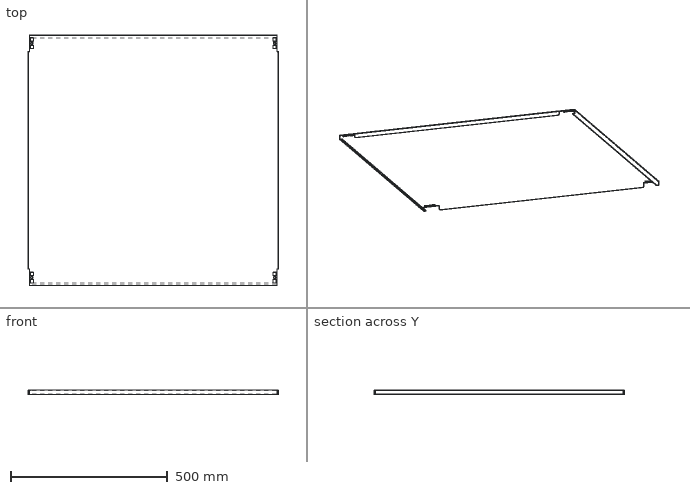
import cadquery as cq
import math

length_x = 799.0
length_y = 800.0
height = 15.0

sheet = 2.0
bend_inside = 1.8
bend_outside = bend_inside + sheet

lip_depth = 9.0

flange_length = 694.0
flange_corner_radius = 5.0

panel_x = length_x - 2 * bend_outside
panel_y = length_y - 2 * bend_outside

square_hole = 10.0
round_hole = 6.5
hole_pitch = 23.5
hole_edge_x = 12.0
hole_edge_y = 26.0


def quarter_bend(line, centre, end, radius, vertical):
    """Quarter arc on the outward side of `centre`, above it (vertical = 1) or below it (-1)."""
    diagonal = radius * math.sqrt(0.5)
    middle = (centre[0] + diagonal, centre[1] + vertical * diagonal)
    return line.threePointArc(middle, end)


def make_panel():
    """Flat sheet whose top face lies at z = 0."""
    return cq.Workplane("XY").rect(panel_x, panel_y).extrude(-sheet)


def make_hook():
    """Back edge: upright wall below the panel, ending in a lip turned inwards."""
    outer = length_y / 2
    inner = outer - sheet
    bend_line = outer - bend_outside
    lip_end = outer - lip_depth
    upper = (bend_line, -bend_outside)
    lower = (bend_line, bend_outside - height)

    line = cq.Workplane("YZ").moveTo(bend_line, 0)
    line = quarter_bend(line, upper, (outer, upper[1]), bend_outside, 1)
    line = line.lineTo(outer, lower[1])
    line = quarter_bend(line, lower, (bend_line, -height), bend_outside, -1)
    line = line.lineTo(lip_end, -height)
    line = line.lineTo(lip_end, sheet - height)
    line = line.lineTo(bend_line, sheet - height)
    line = quarter_bend(line, lower, (inner, lower[1]), bend_inside, -1)
    line = line.lineTo(inner, upper[1])
    line = quarter_bend(line, upper, (bend_line, -sheet), bend_inside, 1)
    return line.close().extrude(panel_x / 2, both=True)


def make_flange():
    """Right edge: upright wall below the panel with rounded lower corners."""
    outer = length_x / 2
    inner = outer - sheet
    bend_line = outer - bend_outside
    upper = (bend_line, -bend_outside)

    line = cq.Workplane("XZ").moveTo(bend_line, 0)
    line = quarter_bend(line, upper, (outer, upper[1]), bend_outside, 1)
    line = line.lineTo(outer, -height)
    line = line.lineTo(inner, -height)
    line = line.lineTo(inner, upper[1])
    line = quarter_bend(line, upper, (bend_line, -sheet), bend_inside, 1)
    flange = line.close().extrude(flange_length / 2, both=True)
    return flange.faces("<Z").edges("|X").fillet(flange_corner_radius)


def make_corner_holes():
    """Cutter for the three holes in each of the four corners."""
    x = length_x / 2 - hole_edge_x
    y = length_y / 2 - hole_edge_y
    round_points = []
    square_points = []
    for side_x in (-x, x):
        for side_y in (-y, y):
            round_points.append((side_x, side_y))
            square_points.append((side_x, side_y - hole_pitch / 2))
            square_points.append((side_x, side_y + hole_pitch / 2))
    rounds = cq.Workplane("XY").pushPoints(round_points).circle(round_hole / 2).extrude(-sheet)
    squares = cq.Workplane("XY").pushPoints(square_points).rect(square_hole, square_hole).extrude(-sheet)
    return rounds.union(squares)


hook = make_hook()
flange = make_flange()
folded_sheet = make_panel().union(hook).union(hook.mirror("XZ"))
folded_sheet = folded_sheet.union(flange).union(flange.mirror("YZ"))
result = folded_sheet.cut(make_corner_holes())